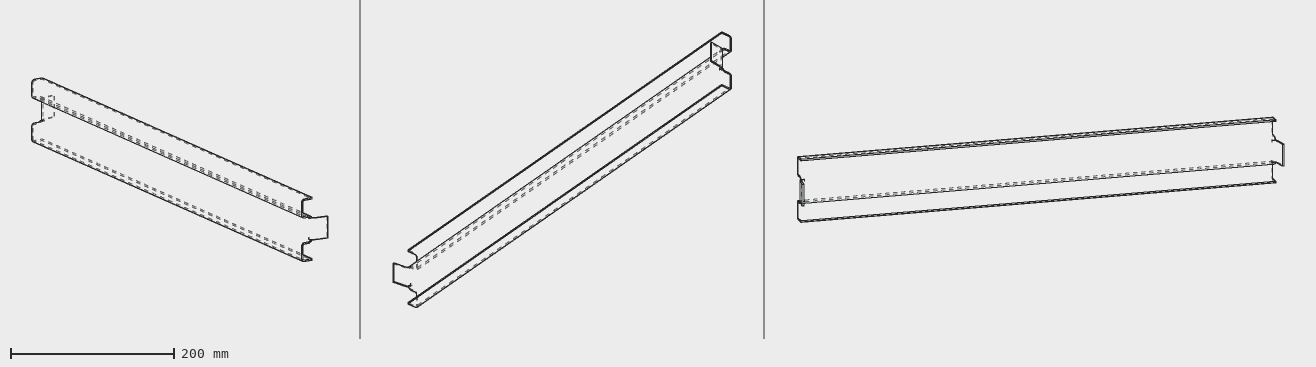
import cadquery as cq
import math

overall_length = 617.0
overall_depth = 35.0
overall_height = 80.0
thickness = 2.0

rail_length = 608.0
rail_depth = 15.5
groove_height = 31.5
channel_bend_radius = 2.0
groove_bend_radius = 4.0

tab_height = 28.0
tab_lean = math.radians(8)
tab_bend_radius = 2.5
tab_root_x = 299.0

half_height = overall_height / 2
half_groove = groove_height / 2


def fillet_bend(solid, axis, outside, inside, inside_radius):
    """Round both faces of a sheet bend whose edges run along the given axis."""
    corners = ((outside, inside_radius + thickness), (inside, inside_radius))
    for corner, radius in corners:
        edge = cq.selectors.NearestToPointSelector(corner)
        solid = solid.edges("|" + axis).edges(edge).fillet(radius)
    return solid


def make_rail():
    web_front = rail_depth - thickness
    wall_top = half_height - thickness
    wall_bottom = half_groove + thickness
    upper_half = [
        (web_front, half_groove),
        (0, half_groove),
        (0, half_height),
        (rail_depth, half_height),
        (rail_depth, wall_top),
        (thickness, wall_top),
        (thickness, wall_bottom),
        (rail_depth, wall_bottom),
    ]
    lower_half = [(y, -z) for y, z in reversed(upper_half)]
    rail = (
        cq.Workplane("YZ")
        .polyline(upper_half + lower_half)
        .close()
        .extrude(rail_length / 2, both=True)
    )
    for side in (1, -1):
        for outside_z, inside_z in ((half_height, wall_top), (half_groove, wall_bottom)):
            outside = (0, 0, side * outside_z)
            inside = (0, thickness, side * inside_z)
            rail = fillet_bend(rail, "X", outside, inside, channel_bend_radius)
        outside = (0, rail_depth, side * wall_bottom)
        inside = (0, web_front, side * half_groove)
        rail = fillet_bend(rail, "X", outside, inside, groove_bend_radius)
    return rail


def make_web_notch():
    """Clearance at the +X end, where the web gives way to the tab."""
    notch_length = rail_length / 2 - tab_root_x
    return cq.Workplane("XY").box(
        notch_length, rail_depth, tab_height, centered=(False, False, True)
    ).translate((tab_root_x, 0, 0))


def make_tab():
    """Tab at the +X end, turned backward from the web and leaning outward."""
    web_front = rail_depth - thickness
    tip_outer_x = overall_length / 2
    tip_inner_x = tip_outer_x - thickness / math.cos(tab_lean)
    outer_corner_x = tip_outer_x - (overall_depth - web_front) * math.tan(tab_lean)
    inner_corner_x = tip_inner_x - (overall_depth - rail_depth) * math.tan(tab_lean)
    tab = (
        cq.Workplane("XY")
        .polyline([
            (tab_root_x, web_front),
            (outer_corner_x, web_front),
            (tip_outer_x, overall_depth),
            (tip_inner_x, overall_depth),
            (inner_corner_x, rail_depth),
            (tab_root_x, rail_depth),
        ])
        .close()
        .extrude(tab_height / 2, both=True)
    )
    outside = (outer_corner_x, web_front, 0)
    inside = (inner_corner_x, rail_depth, 0)
    return fillet_bend(tab, "Z", outside, inside, tab_bend_radius)


notch = make_web_notch()
tab = make_tab()
result = (
    make_rail()
    .cut(notch)
    .cut(notch.mirror("YZ"))
    .union(tab)
    .union(tab.mirror("YZ"))
)